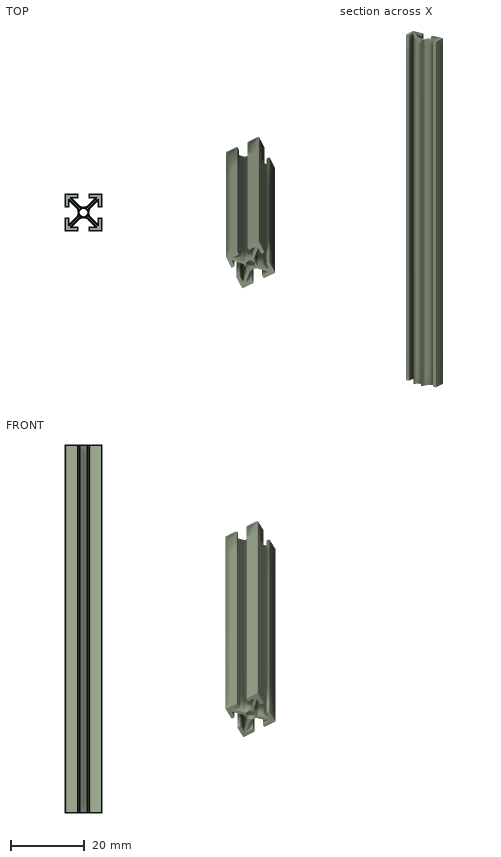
import cadquery as cq
import math

length = 100.0
width = 10.0
slot_opening = 3.0
lip_thickness = 1.0
web_thickness = 0.75
hub_width = 3.1
slot_floor_dip = 0.15
bore_diameter = 2.5
edge_radius = 0.2
lip_radius = 0.2

half_width = width / 2
half_slot = slot_opening / 2
half_hub = hub_width / 2
lip_inner = half_width - lip_thickness
web_offset = web_thickness / math.sqrt(2)


def slot_cutter():
    """T-slot on the +Y side, with a shallow V-shaped floor."""
    right_side = [
        (half_hub - web_offset, half_hub),
        (lip_inner - web_offset, lip_inner),
        (half_slot, lip_inner),
        (half_slot, half_width),
    ]
    left_side = [(-x, y) for x, y in reversed(right_side)]
    floor_middle = (0, half_hub - slot_floor_dip)
    outline = [floor_middle] + right_side + left_side
    return cq.Workplane("XY").polyline(outline).close().extrude(length)


def lip_tip_edges():
    """Selector for both corners of the two lip tips on the +Y side."""
    margin = lip_radius
    return cq.selectors.BoxSelector(
        (-half_slot - margin, lip_inner - margin, 0),
        (half_slot + margin, half_width + margin, length),
    )


beam = cq.Workplane("XY").rect(width, width).extrude(length)
beam = beam.edges("|Z").fillet(edge_radius)

for side in range(4):
    beam = beam.cut(slot_cutter())
    beam = beam.edges(lip_tip_edges()).edges("|Z").fillet(lip_radius)
    beam = beam.rotate((0, 0, 0), (0, 0, 1), 90)

bore = cq.Workplane("XY").circle(bore_diameter / 2).extrude(length)
result = beam.cut(bore).translate((0, 0, -length / 2))